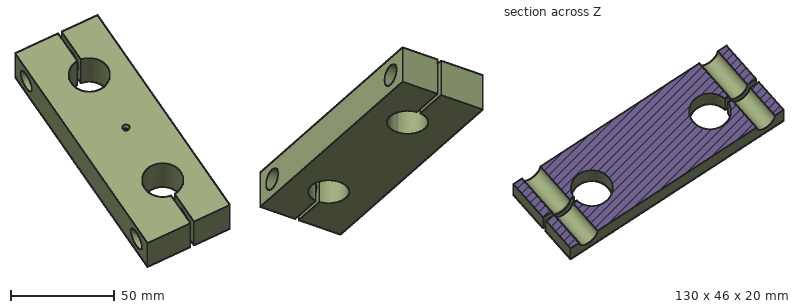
import cadquery as cq
import math

length = 130.0
width = 46.0
height = 20.0

bore_diameter = 20.0
bore_spacing = 72.0
bore_line_y = 2.0
slit_width = 2.0

screw_hole_diameter = 11.0
screw_hole_spacing = 108.0

mouth_diameter = 3.5
mouth_angle = 60
pilot_diameter = 1.5
pilot_depth = 1.5
drill_point_angle = 120


def cone_depth(large_diameter, small_diameter, included_angle):
    """Depth over which a cone narrows between two diameters."""
    return (large_diameter - small_diameter) / 2 / math.tan(math.radians(included_angle / 2))


block = cq.Workplane("XY").box(length, width, height)

bores = (
    cq.Workplane("XY")
    .center(0, bore_line_y)
    .rarray(bore_spacing, 1.3, 2, 1)
    .circle(bore_diameter / 2)
    .extrude(height, both=True)
)

slit_length = (length - bore_spacing) / 2
slits = (
    cq.Workplane("XY")
    .center(0, bore_line_y)
    .rarray(length - slit_length, 1.3, 2, 1)
    .rect(slit_length, slit_width)
    .extrude(height, both=True)
)

screw_holes = (
    cq.Workplane("XZ")
    .rarray(screw_hole_spacing, 1.3, 2, 1)
    .circle(screw_hole_diameter / 2)
    .extrude(width, both=True)
)

top_z = height / 2
pilot_top_z = top_z - cone_depth(mouth_diameter, pilot_diameter, mouth_angle)
pilot_bottom_z = pilot_top_z - pilot_depth
tip_z = pilot_bottom_z - cone_depth(pilot_diameter, 0, drill_point_angle)
center_mark = (
    cq.Workplane("XZ")
    .moveTo(0, top_z)
    .lineTo(mouth_diameter / 2, top_z)
    .lineTo(pilot_diameter / 2, pilot_top_z)
    .lineTo(pilot_diameter / 2, pilot_bottom_z)
    .lineTo(0, tip_z)
    .close()
    .revolve(360, (0, 0), (0, 1))
    .translate((0, bore_line_y, 0))
)

result = block.cut(bores).cut(slits).cut(screw_holes).cut(center_mark)